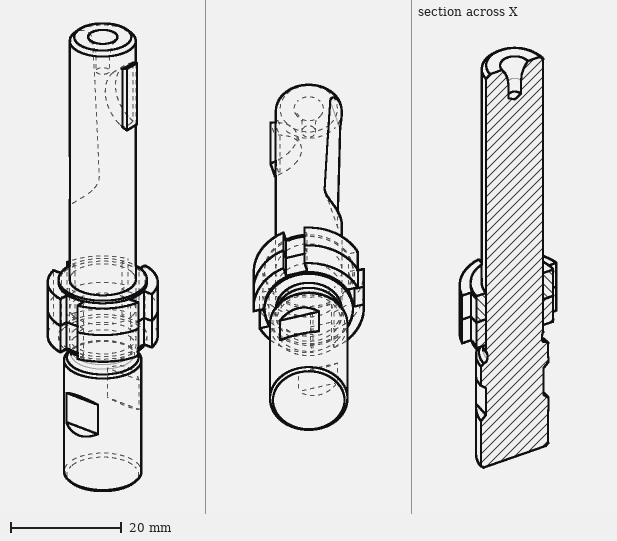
import cadquery as cq
import math

total_length = 90.0
stem_diameter = 12.0
foot_diameter = 14.0
foot_chamfer = 0.5
foot_top = 23.5
foot_shoulder_diameter = 13.0
foot_shoulder_height = 0.5
relief_diameter = 11.5
relief_top = 25.65
stem_start = 26.5
top_face_diameter = 10.35
top_chamfer = 0.8

flats_width = 12.0
flats_center_z = 15.0
flats_length = 6.0

milled_length = 27.9
milled_center_x = -4.6
milled_center_z = 72.2
milled_tilt = 1.6
cutter_radius = 5.0

center_mouth_diameter = 5.3
center_drill_diameter = 2.5
center_mouth_radius = 6.3
center_drill_depth = 3.1
drill_tip_angle = 118.0

key_disc_diameter = 13.0
key_height = 5.0
key_width = 3.0
key_center_z = 80.0
key_projection = 0.8

nut_diameter = 20.0
nut_height = 6.0
nut_collar_diameter = 16.0
nut_collar_height = 0.5
nut_slot_width = 4.0
nut_slot_count = 4
nut_joint_z = 34.0


def make_shaft_blank():
    foot_radius = foot_diameter / 2
    stem_radius = stem_diameter / 2
    relief_radius = relief_diameter / 2
    shoulder_radius = foot_shoulder_diameter / 2
    shoulder_z = foot_top + foot_shoulder_height
    relief_round = shoulder_radius - relief_radius
    profile = (
        cq.Workplane("XZ")
        .moveTo(0, 0)
        .lineTo(foot_radius - foot_chamfer, 0)
        .lineTo(foot_radius, foot_chamfer)
        .lineTo(foot_radius, foot_top)
        .lineTo(shoulder_radius, shoulder_z)
        .radiusArc((relief_radius, shoulder_z + relief_round), relief_round)
        .lineTo(relief_radius, relief_top)
        .tangentArcPoint((stem_radius, stem_start), relative=False)
        .lineTo(stem_radius, total_length - top_chamfer)
        .lineTo(top_face_diameter / 2, total_length)
        .lineTo(0, total_length)
        .close()
    )
    return profile.revolve(360, (0, 0, 0), (0, 1, 0))


def make_wrench_flat_cutter(side):
    """Trapezoidal cutter for one flat; side is -1 or +1 along Y."""
    flat_y = flats_width / 2
    depth = foot_diameter / 2 - flat_y
    half_inner = flats_length / 2
    half_outer = half_inner + depth
    return (
        cq.Workplane("YZ", origin=(0, 0, flats_center_z))
        .polyline([
            (side * flat_y, -half_inner),
            (side * (flat_y + depth), -half_outer),
            (side * (flat_y + depth), half_outer),
            (side * flat_y, half_inner),
        ])
        .close()
        .extrude(foot_diameter / 2, both=True)
    )


def make_milled_flat_cutter():
    """Round-ended cutter whose inner straight side forms the tilted flat."""
    tilt = math.radians(milled_tilt)
    center_x = milled_center_x - cutter_radius * math.cos(tilt)
    center_z = milled_center_z - cutter_radius * math.sin(tilt)
    return (
        cq.Workplane("XZ", origin=(center_x, 0, center_z))
        .slot2D(milled_length + 2 * cutter_radius, 2 * cutter_radius, 90 + milled_tilt)
        .extrude(stem_diameter, both=True)
    )


def make_center_hole_cutter():
    mouth_radius = center_mouth_diameter / 2
    drill_radius = center_drill_diameter / 2
    flare = mouth_radius - drill_radius
    sink_depth = math.sqrt(center_mouth_radius**2 - (center_mouth_radius - flare) ** 2)
    drill_bottom = total_length - sink_depth - center_drill_depth
    tip_depth = drill_radius / math.tan(math.radians(drill_tip_angle / 2))
    return (
        cq.Workplane("XZ")
        .moveTo(0, total_length)
        .lineTo(mouth_radius, total_length)
        .radiusArc((drill_radius, total_length - sink_depth), -center_mouth_radius)
        .lineTo(drill_radius, drill_bottom)
        .lineTo(0, drill_bottom - tip_depth)
        .close()
        .revolve(360, (0, 0, 0), (0, 1, 0))
    )


def make_key():
    """Disc segment with its flat side facing +X."""
    disc_radius = key_disc_diameter / 2
    flat_x = stem_diameter / 2 + key_projection
    bottom_x = flat_x - key_height
    center_x = bottom_x + disc_radius
    half_chord = math.sqrt(disc_radius**2 - (center_x - flat_x) ** 2)
    return (
        cq.Workplane("XZ", origin=(0, 0, key_center_z))
        .moveTo(flat_x, -half_chord)
        .threePointArc((bottom_x, 0), (flat_x, half_chord))
        .close()
        .extrude(key_width / 2, both=True)
    )


def make_nut(collar_side):
    """Lock nut with its plain face on the joint plane; collar_side is +1 (up) or -1 (down)."""
    collar_radius = nut_collar_diameter / 2
    rim_height = nut_height - nut_collar_height
    joint = cq.Workplane("XY", origin=(0, 0, nut_joint_z))
    nut = joint.circle(nut_diameter / 2).extrude(collar_side * rim_height)
    slots = (
        joint.polarArray(collar_radius + nut_diameter / 4, 0, 360, nut_slot_count)
        .rect(nut_diameter / 2, nut_slot_width)
        .extrude(collar_side * rim_height)
    )
    collar = joint.circle(collar_radius).extrude(collar_side * nut_height)
    bore = joint.circle(stem_diameter / 2).extrude(collar_side * nut_height)
    return nut.cut(slots).union(collar).cut(bore)


key = make_key()

shaft = make_shaft_blank()
for side in (-1, 1):
    shaft = shaft.cut(make_wrench_flat_cutter(side))
shaft = shaft.cut(make_milled_flat_cutter())
shaft = shaft.cut(make_center_hole_cutter())
shaft = shaft.cut(key)

nuts = [make_nut(collar_side) for collar_side in (-1, 1)]

result = cq.Compound.makeCompound([shaft.val(), key.val(), *[nut.val() for nut in nuts]])